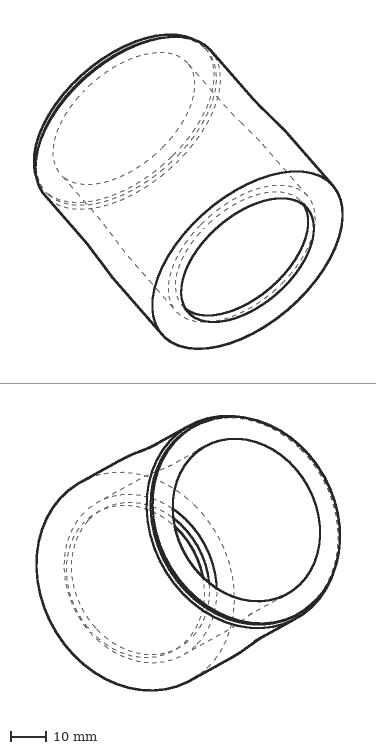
import cadquery as cq

length = 65.0
lip_end = 1.25
chamfer_end = 2.1
taper_start = 25.0
taper_end = length - taper_start
bore_taper_start = 21.85
bore_taper_end = bore_taper_start + taper_end - taper_start
collar_length = 3.0
collar_start = length - collar_length

lip_diameter = 61.35
small_outer_diameter = 63.0
large_outer_diameter = 64.8
entry_bore_diameter = 48.2
wide_bore_diameter = 50.0
collar_bore_diameter = 45.2


def revolve_about_x(profile):
    """Turn a closed profile in the XZ plane into a solid about the X axis."""
    return profile.close().revolve(360, (0, 0, 0), (1, 0, 0))


sleeve = revolve_about_x(
    cq.Workplane("XZ")
    .lineTo(0, lip_diameter / 2)
    .lineTo(lip_end, lip_diameter / 2)
    .lineTo(chamfer_end, small_outer_diameter / 2)
    .lineTo(taper_start, small_outer_diameter / 2)
    .lineTo(taper_end, large_outer_diameter / 2)
    .lineTo(length, large_outer_diameter / 2)
    .lineTo(length, 0)
)

bore = revolve_about_x(
    cq.Workplane("XZ")
    .lineTo(0, entry_bore_diameter / 2)
    .lineTo(bore_taper_start, entry_bore_diameter / 2)
    .lineTo(bore_taper_end, wide_bore_diameter / 2)
    .lineTo(collar_start, wide_bore_diameter / 2)
    .lineTo(collar_start, collar_bore_diameter / 2)
    .lineTo(length, collar_bore_diameter / 2)
    .lineTo(length, 0)
)

result = sleeve.cut(bore)